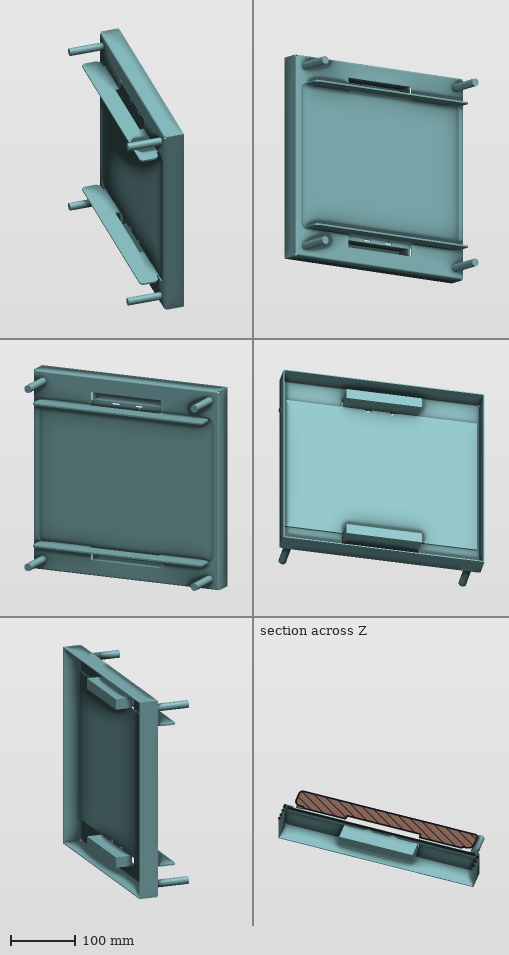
import cadquery as cq

side = 320.0
housing_depth = 32.0
sheet = 1.5
bend_radius = 3.0
seam_gap = 0.13

window_width = 300.5
window_height = 233.0
window_corner = 10.0
notch_width = 120.3
notch_top = 135.0

pocket_wall = 2.2
tab_width = 28.8
tab_height = 6.5
tab_depth = 2.0

panel_setback = 4.5
panel_thickness = 2.5
panel_width = 307.2
panel_height = 240.5
slot_spacing = 40.3
slot_width = 12.8
slot_height = 2.5
stem_width = 2.0
stem_depth = 5.8

flap_width = 292.5
flap_thickness = 2.5
flap_top = 115.5
flap_reach = 34.5
flap_front_radius = 6.0
flap_rear_radius = 10.0
shoulder_gap = 3.5
tongue_gap = 0.5
tongue_width = 260.5
flap_cut_depth = 7.5

rod_diameter = 12.0
rod_length = 55.0
rod_offset = 143.5

half_side = side / 2
flat_half = half_side - bend_radius
front_y = -housing_depth
bend_end_y = front_y + bend_radius
panel_y = front_y + panel_setback
panel_top = panel_height / 2


def block(width, y_range, z_range):
    """Box centred on x = 0, between the given y and z limits."""
    y_low, y_high = y_range
    z_low, z_high = z_range
    plan = cq.Workplane("XY", origin=(0, (y_low + y_high) / 2, z_low)).rect(width, y_high - y_low)
    return plan.extrude(z_high - z_low)


def both_ends(shape):
    """The shape at +Z and its mirror image at -Z."""
    return [shape, shape.mirror("XY")]


def make_opening():
    depth_range = (front_y, 0)
    window = block(window_width, depth_range, (-window_height / 2, window_height / 2))
    window = window.edges("|Y").fillet(window_corner)
    notches = block(notch_width, depth_range, (-notch_top, notch_top))
    return window.union(notches)


def make_side(wall_length):
    """Bend and wall on the +Z side; the bend stops short of the corners to leave a relief."""
    bend = (
        cq.Workplane("YZ")
        .moveTo(front_y, flat_half)
        .radiusArc((bend_end_y, half_side), bend_radius)
        .lineTo(bend_end_y, half_side - sheet)
        .radiusArc((front_y + sheet, flat_half), sheet - bend_radius)
        .close()
        .extrude(flat_half, both=True)
    )
    wall = block(wall_length, (bend_end_y, 0), (half_side - sheet, half_side))
    return bend.union(wall)


def make_pocket():
    """Box behind the top notch, open to the front, with a tab on its back wall."""
    floor_top = panel_top + pocket_wall
    back_face = -pocket_wall
    shell = block(notch_width, (panel_y, 0), (panel_top, notch_top + pocket_wall))
    cavity = block(notch_width - 2 * pocket_wall, (panel_y, back_face), (floor_top, notch_top))
    roof_joint = block(notch_width, (front_y + sheet, panel_y), (notch_top, notch_top + pocket_wall))
    tab = block(tab_width, (back_face - tab_depth, back_face), (notch_top - tab_height, notch_top))
    return shell.cut(cavity).union(roof_joint).union(tab)


def make_housing():
    face = block(2 * flat_half, (front_y, front_y + sheet), (-flat_half, flat_half))
    housing = face.cut(make_opening())
    short_wall = side - 2 * (sheet + seam_gap)
    for angle, wall_length in ((0, short_wall), (90, side), (180, short_wall), (270, side)):
        housing = housing.union(make_side(wall_length).rotate((0, 0, 0), (0, 1, 0), angle))
    for pocket in both_ends(make_pocket()):
        housing = housing.union(pocket)
    return housing


def make_panel():
    depth_range = (panel_y, panel_y + panel_thickness)
    panel = block(panel_width, depth_range, (-panel_top, panel_top))
    bar = block(slot_width, depth_range, (panel_top - slot_height, panel_top))
    stem = block(stem_width, depth_range, (panel_top - stem_depth, panel_top))
    for slot in both_ends(bar.union(stem)):
        for x in (-slot_spacing / 2, slot_spacing / 2):
            panel = panel.cut(slot.translate((x, 0, 0)))
    return panel


def make_flap():
    """Top flap: a rounded plate with a rear tongue, cut away in the middle along the notch."""
    shoulder_y = front_y - shoulder_gap
    tongue_y = front_y - tongue_gap
    z_range = (flap_top - flap_thickness, flap_top)
    plate = block(flap_width, (front_y - flap_reach, shoulder_y), z_range)
    plate = plate.edges("|Z and <Y").fillet(flap_front_radius)
    plate = plate.edges("|Z and >Y").fillet(flap_rear_radius)
    tongue = block(tongue_width, (shoulder_y, tongue_y), z_range)
    middle_cut = block(notch_width, (front_y - flap_cut_depth, tongue_y), z_range)
    return plate.union(tongue).cut(middle_cut)


def make_rod(x, z):
    return cq.Workplane("XZ", origin=(x, front_y, z)).circle(rod_diameter / 2).extrude(rod_length)


housing = make_housing()
panel = make_panel()
flaps = both_ends(make_flap())
rods = [make_rod(x, z) for x in (-rod_offset, rod_offset) for z in (-rod_offset, rod_offset)]

result = cq.Compound.makeCompound(
    [housing.val(), panel.val()] + [flap.val() for flap in flaps] + [rod.val() for rod in rods]
)